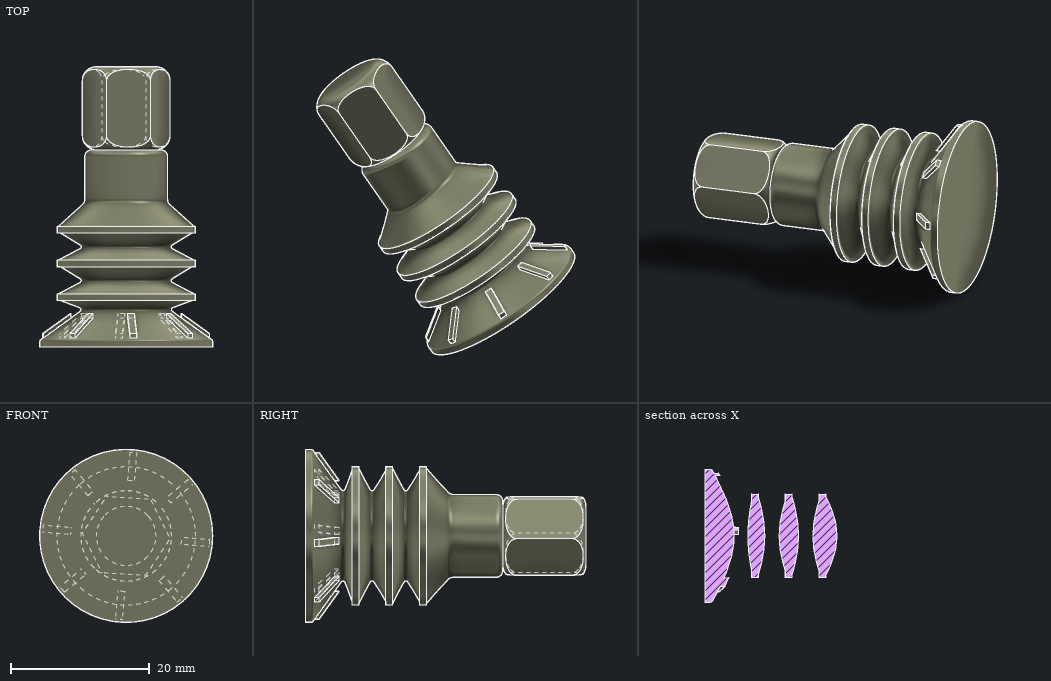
import cadquery as cq
import math


LIP_RADIUS = 12.5
LIP_HEIGHT = 1.0
LIP_EDGE_FILLET = 0.45

RING_RADIUS = 10.0
RING_THICKNESS = 1.0
RING_PITCH = 4.87
RING_COUNT = 3
FIRST_RING_Y = 7.2
UPPER_ROOT_RADIUS = 9.8
LOWER_ROOT_RADIUS = 9.45
RING_ROOT_FILLET = 0.3
FOLD_RADIUS = 6.22
FOLD_FILLET = 0.3
FOLD_DROP = 2.48
LIP_FOLD_DROP = 1.71

SLEEVE_RADIUS = 6.0
SLEEVE_BASE_Y = 20.87
SLEEVE_BASE_FILLET = 1.0
SLEEVE_TOP_FILLET = 1.0

TOTAL_LENGTH = 40.48
HEX_LENGTH = 12.0
HEX_ACROSS_FLATS = 11.0
HEX_END_RADIUS = 8.57 / 2
HEX_TURN = -3.5
HEX_BASE_Y = TOTAL_LENGTH - HEX_LENGTH

RIB_COUNT = 8
RIB_WIDTH = 1.0
RIB_RISE = 0.65
RIB_INNER_RADIUS = 8.0
RIB_OUTER_RADIUS = 12.05
RIB_EMBED = 0.5
RIB_TURN = -5.0

AXIS_START = (0, 0, 0)
AXIS_END = (0, 1, 0)
LIP_FOLD_Y = FIRST_RING_Y - LIP_FOLD_DROP


def unit_vector(start, end):
    length = math.dist(start, end)
    return ((end[0] - start[0]) / length, (end[1] - start[1]) / length)


def along(point, direction, distance):
    return (point[0] + direction[0] * distance, point[1] + direction[1] * distance)


def rounded_corner(before, corner, after, fillet):
    """Start, middle and end of the arc that rounds a corner between two straight lines."""
    to_before = unit_vector(corner, before)
    to_after = unit_vector(corner, after)
    cosine = to_before[0] * to_after[0] + to_before[1] * to_after[1]
    half_angle = math.acos(cosine) / 2
    setback = fillet / math.tan(half_angle)
    start = along(corner, to_before, setback)
    end = along(corner, to_after, setback)
    chord_middle = ((start[0] + end[0]) / 2, (start[1] + end[1]) / 2)
    inward = unit_vector(corner, chord_middle)
    middle = along(corner, inward, fillet / math.sin(half_angle) - fillet)
    return start, middle, end


def ring_corners(index):
    """Fold below a ring followed by the ring itself, as (radius, y, fillet)."""
    middle_y = FIRST_RING_Y + index * RING_PITCH
    lower_y = middle_y - RING_THICKNESS / 2
    upper_y = middle_y + RING_THICKNESS / 2
    fold_drop = LIP_FOLD_DROP if index == 0 else FOLD_DROP
    return [
        (FOLD_RADIUS, middle_y - fold_drop, FOLD_FILLET),
        (LOWER_ROOT_RADIUS, lower_y, RING_ROOT_FILLET),
        (RING_RADIUS, lower_y, 0),
        (RING_RADIUS, upper_y, 0),
        (UPPER_ROOT_RADIUS, upper_y, RING_ROOT_FILLET),
    ]


def make_body():
    """Lip, bellows and sleeve as one turned solid."""
    corners = [
        (0, 0, 0),
        (LIP_RADIUS, 0, 0),
        (LIP_RADIUS, LIP_HEIGHT, LIP_EDGE_FILLET),
    ]
    for index in range(RING_COUNT):
        corners += ring_corners(index)
    corners += [
        (SLEEVE_RADIUS, SLEEVE_BASE_Y, SLEEVE_BASE_FILLET),
        (SLEEVE_RADIUS, HEX_BASE_Y, SLEEVE_TOP_FILLET),
        (0, HEX_BASE_Y, 0),
    ]

    points = [(radius, y) for radius, y, _ in corners]
    outline = cq.Workplane("XY").moveTo(*points[0])
    for i in range(1, len(corners)):
        fillet = corners[i][2]
        if fillet == 0:
            outline = outline.lineTo(*points[i])
        else:
            start, middle, end = rounded_corner(points[i - 1], points[i], points[i + 1], fillet)
            outline = outline.lineTo(*start).threePointArc(middle, end)
    return outline.close().revolve(360, AXIS_START, AXIS_END)


def make_hexagon():
    """Hexagonal prism with both ends rounded off by a turned envelope."""
    corner_radius = HEX_ACROSS_FLATS / math.sqrt(3)
    prism = (
        cq.Workplane("XZ", origin=(0, HEX_BASE_Y, 0))
        .polygon(6, 2 * corner_radius)
        .extrude(-HEX_LENGTH)
        .rotate(AXIS_START, AXIS_END, -HEX_TURN)
    )
    end_fillet = corner_radius - HEX_END_RADIUS
    arc_reach = end_fillet * math.sqrt(0.5)
    lower_y = HEX_BASE_Y + end_fillet
    upper_y = TOTAL_LENGTH - end_fillet
    arc_radius = HEX_END_RADIUS + arc_reach
    envelope = (
        cq.Workplane("XY")
        .moveTo(0, HEX_BASE_Y)
        .lineTo(HEX_END_RADIUS, HEX_BASE_Y)
        .threePointArc((arc_radius, lower_y - arc_reach), (corner_radius, lower_y))
        .lineTo(corner_radius, upper_y)
        .threePointArc((arc_radius, upper_y + arc_reach), (HEX_END_RADIUS, TOTAL_LENGTH))
        .lineTo(0, TOTAL_LENGTH)
        .close()
        .revolve(360, AXIS_START, AXIS_END)
    )
    return prism.intersect(envelope)


def lip_cone_y(radius):
    """Height of the lip cone at a radius."""
    slope = (LIP_HEIGHT - LIP_FOLD_Y) / (LIP_RADIUS - FOLD_RADIUS)
    return LIP_FOLD_Y + slope * (radius - FOLD_RADIUS)


def make_rib(angle):
    """Straight radial rib lying on the lip cone."""
    inner_y = lip_cone_y(RIB_INNER_RADIUS)
    outer_y = lip_cone_y(RIB_OUTER_RADIUS)
    return (
        cq.Workplane("XY")
        .moveTo(RIB_INNER_RADIUS, inner_y - RIB_EMBED)
        .lineTo(RIB_OUTER_RADIUS, outer_y - RIB_EMBED)
        .lineTo(RIB_OUTER_RADIUS, outer_y + RIB_RISE)
        .lineTo(RIB_INNER_RADIUS, inner_y + RIB_RISE)
        .close()
        .extrude(RIB_WIDTH / 2, both=True)
        .rotate(AXIS_START, AXIS_END, -angle)
    )


result = make_body().union(make_hexagon())
for rib in range(RIB_COUNT):
    result = result.union(make_rib(RIB_TURN + rib * 360 / RIB_COUNT))